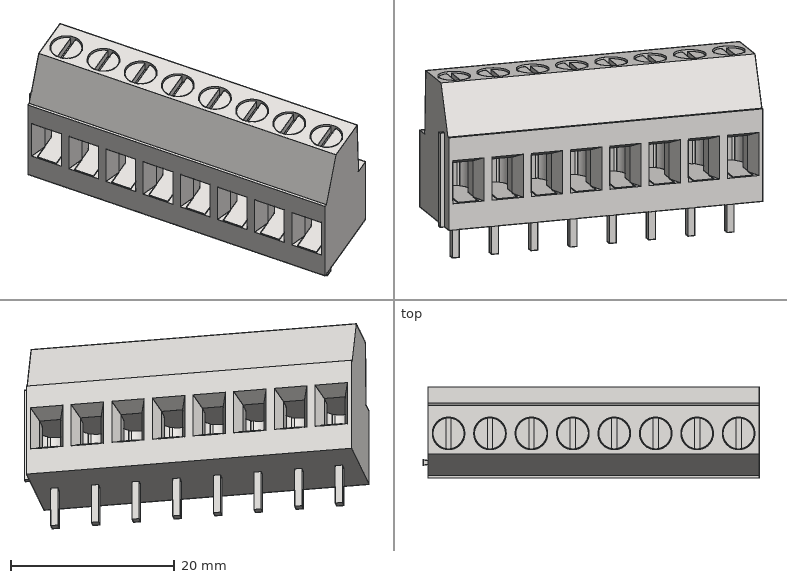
import cadquery as cq


pole_count = 8
pitch = 5.08
body_length = pole_count * pitch

body_depth = 11.2
body_height = 18.0
ledge_height = 9.8
ledge_front_y = 9.25
top_back_y = 8.9
top_front_y = 3.0
lip_depth = 0.35
lip_height = 11.8

rib_projection = 0.57
rib_height = 12.0
rib_center_y = 1.93
rib_outer_width = 0.7
rib_root_width = 0.5

funnel_width = 4.05
funnel_bottom_z = 3.35
funnel_top_z = 8.85
funnel_depth = 2.2
pocket_width = 2.6
pocket_floor_z = 3.45
pocket_top_z = 7.95
pocket_back_y = 7.25
floor_strip_setback = 0.1

screw_y = 5.5
screw_diameter = 3.8
screw_hole_diameter = 4.0
screw_recess = 0.2
slot_width = 0.65
slot_depth = 1.0
ring_gap_depth = 1.2

pin_width = 0.9
pin_thickness = 1.0
pin_length = 5.0
pin_y = 5.3


def box(width, y_range, z_range):
    """Box centred on X = 0, spanning the given Y and Z ranges."""
    y_min, y_max = y_range
    z_min, z_max = z_range
    return (
        cq.Workplane("XY")
        .box(width, y_max - y_min, z_max - z_min, centered=(True, False, False))
        .translate((0, y_min, z_min))
    )


def cylinder(diameter, z_min, z_max):
    """Vertical cylinder on the screw axis."""
    return (
        cq.Workplane("XY", origin=(0, screw_y, z_min))
        .circle(diameter / 2)
        .extrude(z_max - z_min)
    )


def make_housing():
    """Stepped and sloped profile extruded along the row."""
    profile = [
        (0, 0),
        (body_depth, 0),
        (body_depth, ledge_height),
        (ledge_front_y, ledge_height),
        (top_back_y, body_height),
        (top_front_y, body_height),
        (lip_depth, lip_height),
        (0, lip_height),
    ]
    return cq.Workplane("YZ").polyline(profile).close().extrude(body_length)


def make_rib():
    """Dovetail rib, wider at its outer face than at its root."""
    outline = [
        (0, rib_center_y - rib_root_width / 2),
        (-rib_projection, rib_center_y - rib_outer_width / 2),
        (-rib_projection, rib_center_y + rib_outer_width / 2),
        (0, rib_center_y + rib_root_width / 2),
    ]
    return cq.Workplane("XY").polyline(outline).close().extrude(rib_height)


def make_funnel():
    """Entry narrowing at both sides and the top, over a level floor with a raised middle strip."""
    mouth_height = funnel_top_z - funnel_bottom_z
    throat_height = pocket_top_z - funnel_bottom_z
    funnel = (
        cq.Workplane("XZ", origin=(0, 0, funnel_bottom_z))
        .center(0, mouth_height / 2)
        .rect(funnel_width, mouth_height)
        .workplane(offset=-funnel_depth)
        .center(0, (throat_height - mouth_height) / 2)
        .rect(pocket_width, throat_height)
        .loft(ruled=True)
    )
    floor_strip = box(pocket_width, (floor_strip_setback, funnel_depth), (funnel_bottom_z, pocket_floor_z))
    return funnel.cut(floor_strip)


def make_wire_entry():
    """Funnel, straight pocket and the screw bore that rounds out the pocket's back wall."""
    pocket = box(pocket_width, (funnel_depth, pocket_back_y), (pocket_floor_z, pocket_top_z))
    bore = cylinder(screw_hole_diameter, pocket_floor_z, pocket_top_z)
    return make_funnel().union(pocket).union(bore)


def make_screw_recess():
    """Shallow recess, thin ring gap around the screw head, and the driver slot."""
    head_top_z = body_height - screw_recess
    gap_floor_z = head_top_z - ring_gap_depth
    slot_floor_z = head_top_z - slot_depth
    hole = cylinder(screw_hole_diameter, gap_floor_z, body_height)
    head = cylinder(screw_diameter, gap_floor_z, head_top_z)
    half_slot = screw_diameter / 2
    slot = box(slot_width, (screw_y - half_slot, screw_y + half_slot), (slot_floor_z, head_top_z))
    return hole.cut(head.cut(slot))


def make_pin():
    """Rectangular solder pin below the housing."""
    half = pin_thickness / 2
    return box(pin_width, (pin_y - half, pin_y + half), (-pin_length, 0))


result = make_housing().union(make_rib())
pole_cutter = make_wire_entry().union(make_screw_recess())
pin = make_pin()
for pole in range(pole_count):
    pole_offset = ((pole + 0.5) * pitch, 0, 0)
    result = result.cut(pole_cutter.translate(pole_offset))
    result = result.union(pin.translate(pole_offset))